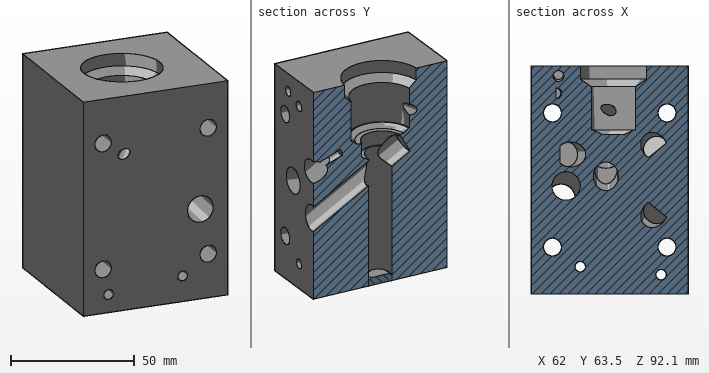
import cadquery as cq
import math

LENGTH_X = 62.0
WIDTH_Y = 63.5
HEIGHT = 92.1
PORT_FACE_X = -LENGTH_X / 2
MIDDLE_Z = HEIGHT / 2

CAVITY_Y = -1.5
MOUTH_RADIUS = 16.7
MOUTH_DEPTH = 5.3
BORE_RADIUS = 13.4
BORE_TOP_DEPTH = 8.3
BORE_BOTTOM_DEPTH = 25.8
SEAT_TOP_RADIUS = 13.1
SEAT_RADIUS = 11.9
SEAT_DEPTH = 26.7
LEDGE_RADIUS = 11.0
LEDGE_DEPTH = 27.6
PILOT_RADIUS = 8.7
PILOT_DEPTH = 33.9
DRILL_TIP_HALF_ANGLE = math.radians(59)

PORT_LINE_Y = 1.6
CHANNEL_Y = PORT_LINE_Y
CHANNEL_RADIUS = 5.5
PLUG_HEIGHT = 3.7
PLUG_CHAMFER = 0.9

MOUNT_DIAMETER = 7.2
MOUNT_Y = 23.1
MOUNT_RISE = 27.1
SMALL_DIAMETER = 4.1
CORNER_HOLE_Y = 20.7
CORNER_HOLE_RISE = 38.2
VENT_SLOPE = 0.18
VENT_LENGTH = 24.9
DRAIN_Y = 11.9
DRAIN_RISE = 35.0
DRAIN_SLOPE = 0.47
DRAIN_LENGTH = 23.0

PORT_DIAMETER = 9.85
SIDE_PORT_Y = -9.6
SIDE_PORT_RISE = 23.85
SIDE_PORT_SLOPE_Y = -0.4
SIDE_PORT_SLOPE_Z = 0.49
SIDE_PORT_LENGTH = 25.8
LOWER_PORT_Z = 35.6
LOWER_PORT_SLOPE = 0.57
LOWER_PORT_LENGTH = 48.8
UPPER_PORT_Z = 56.35
UPPER_PORT_SLOPE = 0.68
UPPER_PORT_LENGTH = 27.6
CROSS_DRILL_Z = 57.7
CROSS_DRILL_SLOPE = 0.36
CROSS_DRILL_LENGTH = 13.8
THROUGH_PORT_DIAMETER = 11.2
THROUGH_PORT_Y = 16.6
THROUGH_PORT_Z = 46.1
THROUGH_PORT_SLOPE_Y = 0.05
THROUGH_PORT_SLOPE_Z = -0.12

OUTLET_START_X = 9.2
OUTLET_START_Y = 3.5
OUTLET_START_Z = 76.0
OUTLET_SLOPE_Y = -0.8
OUTLET_SLOPE_Z = -0.4

OVERSHOOT = 13.8


def drill(diameter, y, z, length, slope_y=0.0, slope_z=0.0):
    """Cylinder whose axis enters the -X face at (y, z) and runs on inside for the given length."""
    direction = cq.Vector(1, slope_y, slope_z).normalized()
    start = cq.Vector(PORT_FACE_X, y, z) - direction * OVERSHOOT
    return cq.Workplane(cq.Solid.makeCylinder(diameter / 2, length + OVERSHOOT, start, direction))


def through_drill(diameter, y, z, slope_y=0.0, slope_z=0.0):
    return drill(diameter, y, z, LENGTH_X + OVERSHOOT, slope_y, slope_z)


def make_cavity():
    """Stepped bore with a conical drill tip, turned about its vertical axis."""
    tip_depth = PILOT_DEPTH + PILOT_RADIUS / math.tan(DRILL_TIP_HALF_ANGLE)
    half_profile = [
        (0, 0),
        (MOUTH_RADIUS, 0),
        (MOUTH_RADIUS, -MOUTH_DEPTH),
        (BORE_RADIUS, -BORE_TOP_DEPTH),
        (BORE_RADIUS, -BORE_BOTTOM_DEPTH),
        (SEAT_TOP_RADIUS, -BORE_BOTTOM_DEPTH),
        (SEAT_RADIUS, -SEAT_DEPTH),
        (LEDGE_RADIUS, -LEDGE_DEPTH),
        (PILOT_RADIUS, -LEDGE_DEPTH),
        (PILOT_RADIUS, -PILOT_DEPTH),
        (0, -tip_depth),
    ]
    cavity = cq.Workplane("XZ").polyline(half_profile).close().revolve(360, (0, 0), (0, 1))
    return cavity.translate((0, CAVITY_Y, HEIGHT))


def make_channel():
    top_z = HEIGHT - PILOT_DEPTH
    return cq.Workplane("XY").center(0, CHANNEL_Y).circle(CHANNEL_RADIUS).extrude(top_z)


def make_straight_holes():
    holes = [
        through_drill(MOUNT_DIAMETER, y, z)
        for y in (-MOUNT_Y, MOUNT_Y)
        for z in (MIDDLE_Z - MOUNT_RISE, MIDDLE_Z + MOUNT_RISE)
    ]
    holes.append(through_drill(SMALL_DIAMETER, DRAIN_Y, MIDDLE_Z - DRAIN_RISE))
    holes.append(through_drill(SMALL_DIAMETER, -CORNER_HOLE_Y, MIDDLE_Z - CORNER_HOLE_RISE))
    return holes


def make_slanted_ports():
    side_ports = [
        drill(
            PORT_DIAMETER,
            SIDE_PORT_Y,
            MIDDLE_Z + side * SIDE_PORT_RISE,
            SIDE_PORT_LENGTH,
            SIDE_PORT_SLOPE_Y,
            -side * SIDE_PORT_SLOPE_Z,
        )
        for side in (-1, 1)
    ]
    lower = drill(PORT_DIAMETER, PORT_LINE_Y, LOWER_PORT_Z, LOWER_PORT_LENGTH, slope_z=LOWER_PORT_SLOPE)
    upper = drill(PORT_DIAMETER, PORT_LINE_Y, UPPER_PORT_Z, UPPER_PORT_LENGTH, slope_y=UPPER_PORT_SLOPE)
    cross = drill(SMALL_DIAMETER, PORT_LINE_Y, CROSS_DRILL_Z, CROSS_DRILL_LENGTH, slope_z=CROSS_DRILL_SLOPE)
    drain = drill(
        SMALL_DIAMETER,
        DRAIN_Y,
        MIDDLE_Z + DRAIN_RISE,
        DRAIN_LENGTH,
        slope_y=DRAIN_SLOPE,
    )
    vent = drill(
        SMALL_DIAMETER,
        CORNER_HOLE_Y,
        MIDDLE_Z + CORNER_HOLE_RISE,
        VENT_LENGTH,
        slope_z=VENT_SLOPE,
    )
    through = through_drill(
        THROUGH_PORT_DIAMETER, THROUGH_PORT_Y, THROUGH_PORT_Z, THROUGH_PORT_SLOPE_Y, THROUGH_PORT_SLOPE_Z
    )
    return [*side_ports, lower, upper, cross, drain, vent, through]


def make_outlet():
    """Slanted drilling from the side wall of the cavity bore out through the +X face."""
    direction = cq.Vector(1, OUTLET_SLOPE_Y, OUTLET_SLOPE_Z)
    start = cq.Vector(OUTLET_START_X, OUTLET_START_Y, OUTLET_START_Z)
    return cq.Workplane(cq.Solid.makeCylinder(SMALL_DIAMETER / 2, LENGTH_X, start, direction))


def make_block():
    block = cq.Workplane("XY").box(LENGTH_X, WIDTH_Y, HEIGHT, centered=(True, True, False))
    cutters = [make_cavity(), make_channel(), make_outlet(), *make_straight_holes(), *make_slanted_ports()]
    for cutter in cutters:
        block = block.cut(cutter)
    return block


def make_plug():
    plug = cq.Workplane("XY").center(0, CHANNEL_Y).circle(CHANNEL_RADIUS).extrude(PLUG_HEIGHT)
    return plug.faces(">Z").chamfer(PLUG_CHAMFER)


block = make_block()
plug = make_plug()
result = cq.Compound.makeCompound([block.val(), plug.val()])